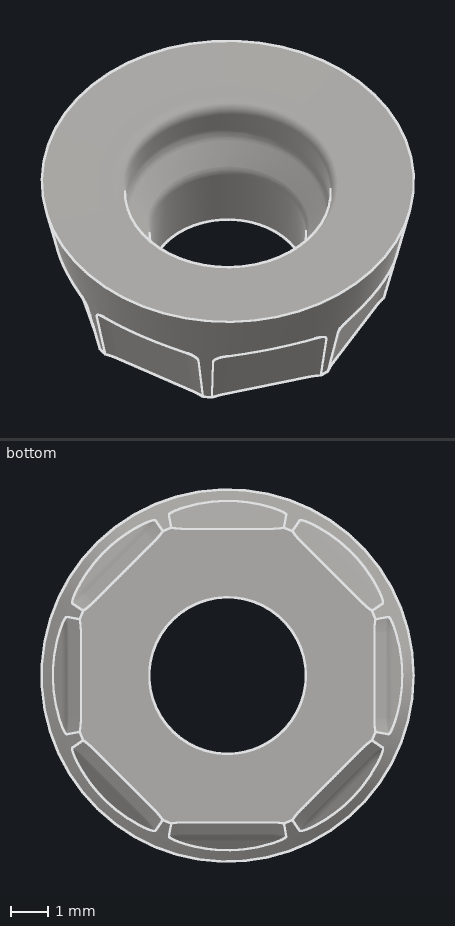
import cadquery as cq
import math

top_radius = 4.98
base_radius = 4.23
height = 3.97

dish_radius = 3.48
dish_depth = 0.12
ring_height = height - dish_depth

mouth_fillet = 0.34
upper_bore_radius = 2.75
through_radius = 2.09
seat_start_height = 2.93
seat_angle = math.radians(40)
seat_entry_fillet = 0.5
seat_exit_fillet = 0.35

flat_count = 8
flat_distance = 3.92
flat_half_width = 1.16
flat_tilt = math.radians(10)
flat_height = 1.83
flare_radius = 1.99
flare_angle = 27
ramp_fillet = 0.5
ramp_angle = math.radians(50)
cutter_reach = 5.58


def make_blank():
    """Revolve the body together with its complete bore profile."""
    entry_radius = upper_bore_radius - seat_entry_fillet * (1 - math.cos(seat_angle))
    entry_height = seat_start_height - seat_entry_fillet * math.sin(seat_angle)
    exit_radius = through_radius + seat_exit_fillet * (1 - math.cos(seat_angle))
    exit_height = entry_height - (entry_radius - exit_radius) / math.tan(seat_angle)
    through_height = exit_height - seat_exit_fillet * math.sin(seat_angle)
    mouth_radius = upper_bore_radius + mouth_fillet

    profile = (
        cq.Workplane("XZ")
        .moveTo(through_radius, 0)
        .lineTo(base_radius, 0)
        .lineTo(top_radius, height)
        .lineTo(dish_radius, ring_height)
        .lineTo(mouth_radius, ring_height)
        .tangentArcPoint((upper_bore_radius, ring_height - mouth_fillet), relative=False)
        .lineTo(upper_bore_radius, seat_start_height)
        .tangentArcPoint((entry_radius, entry_height), relative=False)
        .lineTo(exit_radius, exit_height)
        .tangentArcPoint((through_radius, through_height), relative=False)
        .close()
    )
    return profile.revolve(360, (0, 0, 0), (0, 1, 0))


def make_flat_cutter():
    """Cutter on the +X side: a tilted flat with flared sides, closed by a ramp above."""
    flat_top = flat_distance + flat_height * math.tan(flat_tilt)
    ramp_start = flat_top + ramp_fillet * (math.cos(flat_tilt) - math.cos(ramp_angle))
    ramp_height = flat_height + ramp_fillet * (math.sin(ramp_angle) - math.sin(flat_tilt))
    ramp_end_height = ramp_height + (cutter_reach - ramp_start) / math.tan(ramp_angle)
    profile = (
        cq.Workplane("XZ")
        .moveTo(flat_distance, 0)
        .lineTo(flat_top, flat_height)
        .tangentArcPoint((ramp_start, ramp_height), relative=False)
        .lineTo(cutter_reach, ramp_end_height)
        .lineTo(cutter_reach, 0)
        .close()
    )

    cutter = profile.extrude(flat_half_width, both=True)
    axis_distance = flat_distance + flare_radius
    for side in (-1, 1):
        flare = profile.toPending().revolve(
            flare_angle, (axis_distance, 0, 0), (axis_distance, -side, 0)
        )
        cutter = cutter.union(flare.translate((0, side * flat_half_width, 0)))
    return cutter


result = make_blank()
flat_cutter = make_flat_cutter()
for index in range(flat_count):
    angle = index * 360 / flat_count
    result = result.cut(flat_cutter.rotate((0, 0, 0), (0, 0, 1), angle))